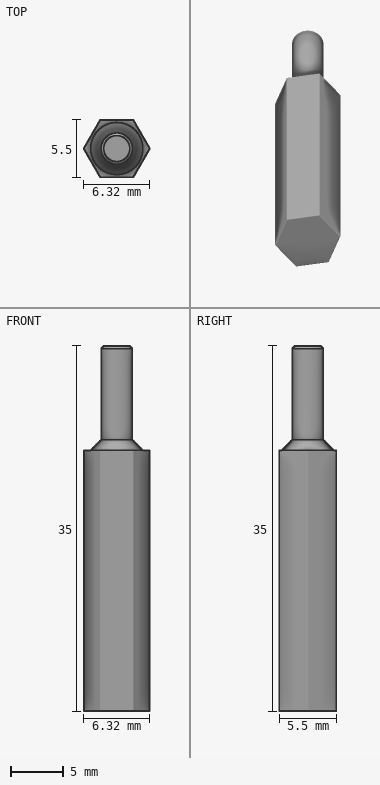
import cadquery as cq
import math

hex_sides = 6
across_flats = 5.5
body_length = 25.0
edge_radius = 0.1

stud_diameter = 3.0
stud_length = 10.0
tip_chamfer = 0.25
cone_base_diameter = 5.0
cone_height = (cone_base_diameter - stud_diameter) / 2


def hex_body():
    """Hexagonal prism with flats facing +Y and -Y and every edge rounded."""
    across_corners = across_flats / math.cos(math.pi / hex_sides)
    prism = cq.Workplane("XY").polygon(hex_sides, across_corners).extrude(body_length)
    return prism.edges().fillet(edge_radius)


def stud():
    """Revolved stud with a 45 degree cone at its root and a chamfered tip."""
    stud_radius = stud_diameter / 2
    cone_base_radius = cone_base_diameter / 2
    cone_top_z = body_length + cone_height
    tip_z = body_length + stud_length
    profile = (
        cq.Workplane("XZ")
        .moveTo(0, body_length)
        .lineTo(cone_base_radius, body_length)
        .lineTo(stud_radius, cone_top_z)
        .lineTo(stud_radius, tip_z - tip_chamfer)
        .lineTo(stud_radius - tip_chamfer, tip_z)
        .lineTo(0, tip_z)
        .close()
    )
    return profile.revolve(axisStart=(0, 0, 0), axisEnd=(0, 1, 0))


result = hex_body().union(stud())